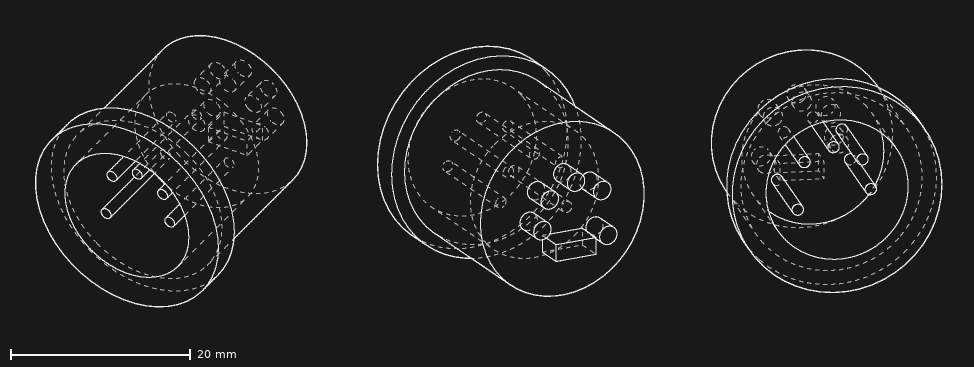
import cadquery as cq

total_length = 25.3
flange_diameter = 23.8
flange_thickness = 3.47
body_diameter = 20.57
bore_diameter = 16.12
bore_depth = 15.18

pin_diameter = 1.3
pin_recess = 2.25
tail_diameter = 2.18
tail_length = 3.35
body_end = total_length - tail_length

top_pin_height = 4.3
upper_pin_offset = 3.3
upper_pin_height = 2.73
contact_centres = [
    (0, top_pin_height),
    (-upper_pin_offset, upper_pin_height),
    (upper_pin_offset, upper_pin_height),
    (4.23, -0.75),
    (-4.05, -upper_pin_height),
]

tab_width = 5.0
tab_thickness = 2.0
tab_bottom = -4.73


def cylinders(centres, diameter, start, end):
    """Round bars along +Y between two Y positions, at the given (X, Z) centres."""
    plane = cq.Plane(origin=(0, start, 0), xDir=(1, 0, 0), normal=(0, 1, 0))
    points = [(x, -z) for x, z in centres]
    return cq.Workplane(plane).pushPoints(points).circle(diameter / 2).extrude(end - start)


def make_shell():
    axis = [(0, 0)]
    flange = cylinders(axis, flange_diameter, 0, flange_thickness)
    body = cylinders(axis, body_diameter, 0, body_end)
    bore = cylinders(axis, bore_diameter, 0, bore_depth)
    return flange.union(body).cut(bore)


def make_ground_tab():
    tab = cq.Workplane("XY").box(tab_width, tail_length, tab_thickness, centered=(True, False, False))
    return tab.translate((0, body_end, tab_bottom))


pins = cylinders(contact_centres, pin_diameter, pin_recess, body_end)
tails = cylinders(contact_centres, tail_diameter, body_end, total_length)
result = make_shell().union(pins).union(tails).union(make_ground_tab())